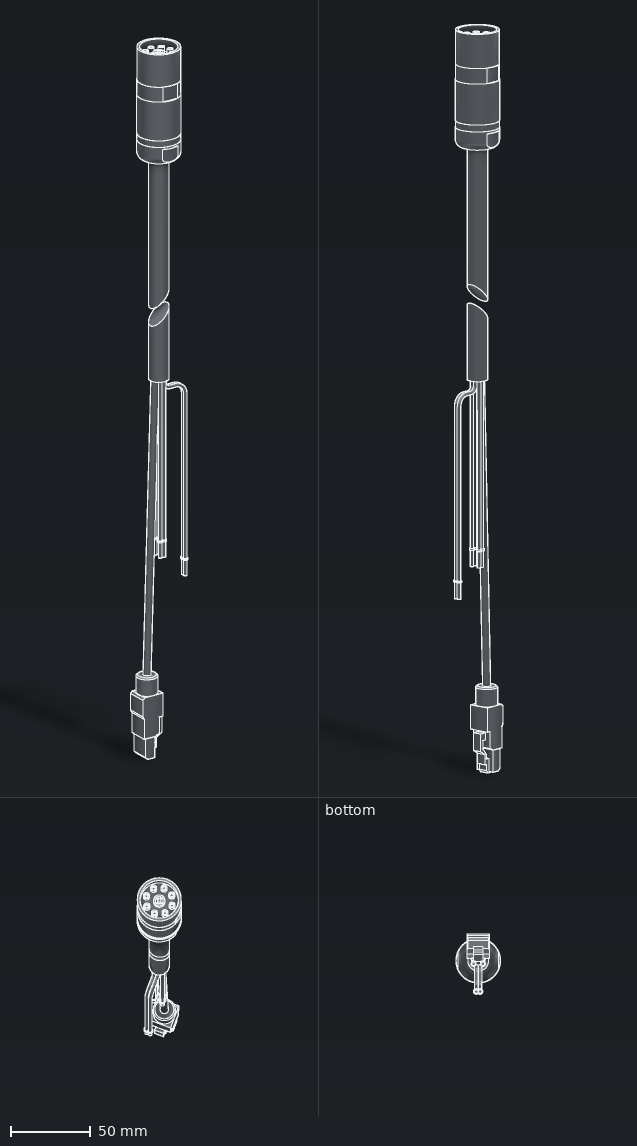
import cadquery as cq


connector_dia = 28.0
wrench_band_dia = 27.8
front_dia = 27.6
connector_end_z = -75.6
wrench_flat_width = 25.4
wrench_band_top_z = -22.0
wrench_band_bottom_z = -32.0
nut_gap_top_z = -58.4
nut_gap_bottom_z = -62.8
nut_gap_depth = 0.15
nut_flat_top_z = -64.4
nut_fillet = 5.0
socket_dia = 24.0
socket_depth = 8.0
contact_end_z = -3.5
contact_outer_dia = 3.9
contact_bore_dia = 2.25
contact_bore_depth = 3.0
contact_circle_radius = 8.6
contact_count = 8
shield_outer_dia = 7.1
shield_inner_dia = 4.9
centre_pin_dia = 2.25

sheath_dia = 13.0
upper_cut_z = -169.8
lower_cut_z = -181.7
sheath_end_z = -225.5

root_overlap = 2.0

power_core_dia = 2.3
power_flange_dia = 3.2
power_flange_height = 1.2
power_core_x = 2.9
power_core_rows_y = (-0.9, 1.95)
power_flange_z = -334.2
power_core_end_z = -346.0

pair_core_dia = 2.3
pair_flange_dia = 3.5
pair_flange_height = 0.8
pair_core_x = 1.2
pair_core_y = 19.32
pair_root_y = 3.6
pair_run_z = -232.6
pair_root_bend = 4.0
pair_drop_bend = 7.0
pair_flange_z = -351.6
pair_core_end_z = -363.3

data_cable_dia = 5.2
data_cable_root_y = -2.95
plug_y = -9.0

collar_dia = 13.9
collar_top_z = -424.2
collar_chamfer = 1.0
shell_width = 13.9
shell_top_z = -436.4
shell_back_y = -1.5
shell_front_y = -16.78
shell_front_chamfer = 1.4
shell_grip_end_z = -449.0
shell_step_z = -451.0
shell_lower_front_y = -15.7
shell_lower_back_y = -4.2
shell_back_end_z = -452.0
shell_back_slope = 1.6
shell_end_z = -464.6
nose_width = 13.0
nose_back_y = -7.5
nose_front_y = -14.4
nose_end_z = -479.0
nose_chamfer = 1.6
latch_width = 6.0
latch_back_y = 0.4
latch_thickness = 2.4
latch_top_z = -453.4
latch_root_z = -458.0
latch_lever_end_z = -464.8
latch_arm_thickness = 1.3
latch_hook_y = -3.8
latch_bend_z = -467.4
latch_hook_end_z = -474.0
latch_joint_z = -470.5
latch_stem_y = -5.4
latch_taper_z = -478.0
latch_tip_y = -6.6
latch_inner_y = -9.0
latch_tip_z = -479.85


def rod(diameter, top_z, bottom_z, x=0.0, y=0.0):
    """Upright cylinder between two heights."""
    return (
        cq.Workplane("XY", origin=(x, y, bottom_z))
        .circle(diameter / 2)
        .extrude(top_z - bottom_z)
    )


def connector_body():
    """Turned connector shell, closed below the socket."""
    radius = connector_dia / 2
    front_radius = front_dia / 2
    band_radius = wrench_band_dia / 2
    gap_radius = radius - nut_gap_depth
    return (
        cq.Workplane("XZ")
        .moveTo(0, -socket_depth)
        .lineTo(socket_dia / 2, -socket_depth)
        .lineTo(socket_dia / 2, 0)
        .lineTo(front_radius, 0)
        .lineTo(front_radius, wrench_band_top_z)
        .lineTo(band_radius, wrench_band_top_z)
        .lineTo(band_radius, wrench_band_bottom_z)
        .lineTo(radius, wrench_band_bottom_z)
        .lineTo(radius, nut_gap_top_z)
        .lineTo(gap_radius, nut_gap_top_z)
        .lineTo(gap_radius, nut_gap_bottom_z)
        .lineTo(radius, nut_gap_bottom_z)
        .lineTo(radius, connector_end_z + nut_fillet)
        .radiusArc((radius - nut_fillet, connector_end_z), nut_fillet)
        .lineTo(0, connector_end_z)
        .close()
        .revolve(360, (0, 0, 0), (0, 1, 0))
    )


def flat_cutters(top_z, bottom_z):
    """Blocks that leave a pair of wrench flats facing -X and +X."""
    height = top_z - bottom_z
    return (
        cq.Workplane("XY", origin=(0, 0, bottom_z))
        .pushPoints([(-wrench_flat_width, 0), (wrench_flat_width, 0)])
        .rect(wrench_flat_width, connector_dia)
        .extrude(height)
    )


def contacts():
    """Ring of hollow contacts around a shield tube and its pin, all standing on the socket floor."""
    floor = cq.Workplane("XY", origin=(0, 0, -socket_depth))
    height = socket_depth + contact_end_z
    posts = (
        floor.polarArray(contact_circle_radius, 0, 360, contact_count)
        .circle(contact_outer_dia / 2)
        .extrude(height)
    )
    bores = (
        cq.Workplane("XY", origin=(0, 0, contact_end_z))
        .polarArray(contact_circle_radius, 0, 360, contact_count)
        .circle(contact_bore_dia / 2)
        .extrude(-contact_bore_depth)
    )
    shield = floor.circle(shield_outer_dia / 2).circle(shield_inner_dia / 2).extrude(height)
    pin = floor.circle(centre_pin_dia / 2).extrude(height)
    return posts.union(shield).union(pin).cut(bores)


def sheath(top_z, bottom_z):
    return rod(sheath_dia, top_z, bottom_z)


def cut_wedge(axis_z, direction):
    """Material to remove beyond a 45 degree cut; direction is +1 above it and -1 below it."""
    reach = sheath_dia
    points = [
        (-reach, axis_z - reach),
        (reach, axis_z + reach),
        (direction * -reach, axis_z + direction * reach),
    ]
    return cq.Workplane("YZ").polyline(points).close().extrude(sheath_dia, both=True)


def power_core(x, y):
    """Straight core whose ferrule has a flange at its upper end."""
    core = rod(power_core_dia, sheath_end_z + root_overlap, power_core_end_z, x, y)
    return core.union(rod(power_flange_dia, power_flange_z, power_flange_z - power_flange_height, x, y))


def pair_core(x):
    """Core that leaves the sheath, turns towards +Y and hangs down."""
    path = (
        cq.Workplane("YZ", origin=(x, 0, 0))
        .moveTo(pair_root_y, sheath_end_z + root_overlap)
        .lineTo(pair_root_y, pair_run_z + pair_root_bend)
        .radiusArc((pair_root_y + pair_root_bend, pair_run_z), -pair_root_bend)
        .lineTo(pair_core_y - pair_drop_bend, pair_run_z)
        .radiusArc((pair_core_y, pair_run_z - pair_drop_bend), pair_drop_bend)
        .lineTo(pair_core_y, pair_core_end_z)
    )
    start = cq.Workplane("XY", origin=(x, pair_root_y, sheath_end_z + root_overlap))
    core = start.circle(pair_core_dia / 2).sweep(path)
    flange_end_z = pair_flange_z - pair_flange_height
    return core.union(rod(pair_flange_dia, pair_flange_z, flange_end_z, x, pair_core_y))


def data_cable():
    """Straight cable leaning from the sheath to the plug collar."""
    top = cq.Vector(0, data_cable_root_y, sheath_end_z + root_overlap)
    bottom = cq.Vector(0, plug_y, collar_top_z - root_overlap)
    run = bottom - top
    return cq.Workplane(obj=cq.Solid.makeCylinder(data_cable_dia / 2, run.Length, top, run))


def plug_side(points, width):
    """Prism across X from an outline in Y and Z."""
    return cq.Workplane("YZ").polyline(points).close().extrude(width / 2, both=True)


def rj45_plug():
    collar = rod(collar_dia, collar_top_z, shell_top_z, 0, plug_y).faces(">Z").chamfer(collar_chamfer)
    shell = plug_side(
        [
            (shell_back_y, shell_top_z),
            (shell_front_y + shell_front_chamfer, shell_top_z),
            (shell_front_y, shell_top_z - shell_front_chamfer),
            (shell_front_y, shell_grip_end_z),
            (shell_lower_front_y, shell_step_z),
            (shell_lower_front_y, shell_end_z),
            (nose_back_y, shell_end_z),
            (shell_lower_back_y, shell_end_z + shell_back_slope),
            (shell_lower_back_y, shell_back_end_z),
            (shell_back_y, shell_back_end_z),
        ],
        shell_width,
    )
    nose = plug_side(
        [
            (nose_back_y, shell_end_z),
            (nose_front_y, shell_end_z),
            (nose_front_y, nose_end_z + nose_chamfer),
            (nose_front_y + nose_chamfer, nose_end_z),
            (nose_back_y, nose_end_z),
        ],
        nose_width,
    )
    latch = plug_side(
        [
            (shell_lower_back_y, latch_top_z),
            (latch_back_y, latch_top_z),
            (latch_back_y, latch_lever_end_z),
            (latch_hook_y, latch_bend_z),
            (latch_hook_y, latch_hook_end_z),
            (latch_stem_y, latch_hook_end_z),
            (latch_stem_y, latch_taper_z),
            (latch_tip_y, latch_tip_z),
            (latch_inner_y, latch_tip_z),
            (latch_inner_y, latch_joint_z),
            (latch_hook_y - latch_arm_thickness, latch_joint_z),
            (latch_hook_y - latch_arm_thickness, latch_bend_z),
            (latch_back_y - latch_thickness, latch_lever_end_z + latch_arm_thickness),
            (latch_back_y - latch_thickness, latch_root_z),
            (shell_lower_back_y, latch_root_z),
        ],
        latch_width,
    )
    return collar.union(shell).union(nose).union(latch)


def upper_section():
    body = connector_body()
    body = body.cut(flat_cutters(wrench_band_top_z, wrench_band_bottom_z))
    body = body.cut(flat_cutters(nut_flat_top_z, connector_end_z))
    body = body.union(contacts())
    cable = sheath(connector_end_z, upper_cut_z - sheath_dia).cut(cut_wedge(upper_cut_z, -1))
    return body.union(cable)


def lower_section():
    body = sheath(lower_cut_z + sheath_dia, sheath_end_z).cut(cut_wedge(lower_cut_z, 1))
    for side in (-1, 1):
        for y in power_core_rows_y:
            body = body.union(power_core(side * power_core_x, y))
        body = body.union(pair_core(side * pair_core_x))
    return body.union(data_cable()).union(rj45_plug())


connector_cable = upper_section()
plug_cable = lower_section()
result = cq.Compound.makeCompound([connector_cable.val(), plug_cable.val()])